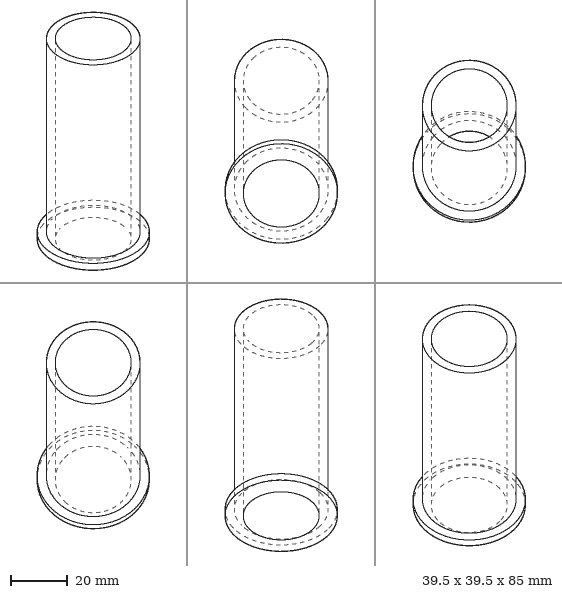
import cadquery as cq

total_height = 85.0
flange_diameter = 39.5
flange_thickness = 3.0
tube_diameter = 33.0
bore_diameter = 26.7

flange = cq.Workplane("XY").circle(flange_diameter / 2).extrude(flange_thickness)

tube = cq.Workplane("XY").circle(tube_diameter / 2).extrude(total_height)

bore = cq.Workplane("XY").circle(bore_diameter / 2).extrude(total_height)

result = flange.union(tube).cut(bore)